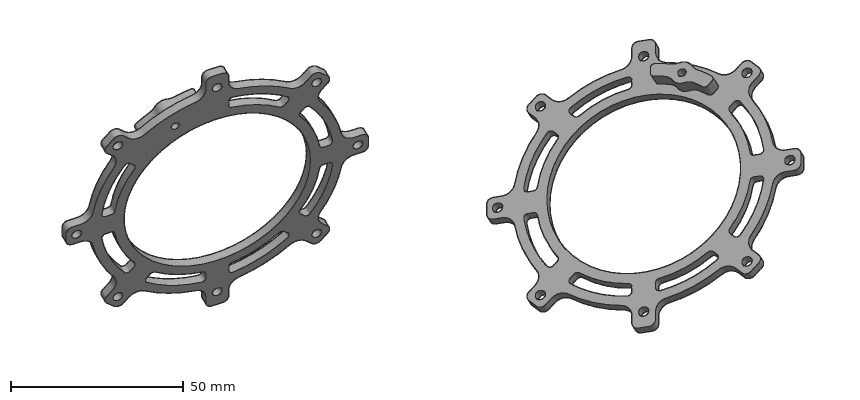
import cadquery as cq
import math

plate_thickness = 3.0
boss_height = 5.0
ring_inner_radius = 29.6
ring_outer_radius = 40.0
ring_middle_radius = (ring_inner_radius + ring_outer_radius) / 2

tab_count = 8
tab_pitch = 360 / tab_count
tab_width = 7.3
tab_tip_radius = 48.0
tab_corner_radius = 2.0
tab_root_fillet = 4.0
tab_hole_diameter = 3.1
tab_hole_radius = 44.6
vertical_tab_hole_radius = 42.7

slot_inner_radius = 32.8
slot_outer_radius = 37.0
slot_corner_radius = 1.2

boss_angle = 90 + tab_pitch / 2
pad_radius = 3.55
pad_blend_radius = 4.0
boss_hole_diameter = 2.5

match_tolerance = 0.01

plate_plane = cq.Workplane("YZ")


def polar(radius, angle):
    """Point in the plate plane at an angle in degrees from +Y towards +Z."""
    turn = math.radians(angle)
    return radius * math.cos(turn), radius * math.sin(turn)


def distance_from_axis(edge):
    center = edge.Center()
    return math.hypot(center.y, center.z)


def turned(shape, angle):
    return shape.rotate((0, 0, 0), (1, 0, 0), angle)


def make_tab():
    """Tab along +Y, starting inside the ring and rounded at its tip."""
    length = tab_tip_radius - ring_middle_radius
    return (
        plate_plane.center(ring_middle_radius + length / 2, 0)
        .rect(length, tab_width)
        .extrude(plate_thickness)
        .edges("|X and >Y")
        .fillet(tab_corner_radius)
    )


def make_plate():
    """Ring with its tabs, blended where the tab sides meet the rim."""
    plate = plate_plane.circle(ring_outer_radius).circle(ring_inner_radius).extrude(plate_thickness)
    for index in range(tab_count):
        plate = plate.union(turned(make_tab(), index * tab_pitch))
    rim_corners = plate.edges("|X").filter(
        lambda edge: abs(distance_from_axis(edge) - ring_outer_radius) < match_tolerance
    )
    return rim_corners.fillet(tab_root_fillet)


def make_slot_body(start_x, depth):
    """Curved slot shape between the tab on +Y and the next tab towards +Z."""
    half_width = tab_width / 2

    def corners(radius):
        lead = math.degrees(math.asin(half_width / radius))
        return polar(radius, lead), polar(radius, tab_pitch / 2), polar(radius, tab_pitch - lead)

    outer_start, outer_middle, outer_end = corners(slot_outer_radius)
    inner_start, inner_middle, inner_end = corners(slot_inner_radius)
    return (
        plate_plane.workplane(offset=start_x)
        .moveTo(*inner_start)
        .lineTo(*outer_start)
        .threePointArc(outer_middle, outer_end)
        .lineTo(*inner_end)
        .threePointArc(inner_middle, inner_start)
        .close()
        .extrude(depth)
        .edges("|X")
        .fillet(slot_corner_radius)
    )


def make_boss():
    """Boss standing off the -X face and closing its slot through the plate."""
    depth = boss_height + plate_thickness
    slot_fill = turned(make_slot_body(-boss_height, depth), boss_angle - tab_pitch / 2)
    pad_center = polar(ring_middle_radius, boss_angle)
    pad = (
        plate_plane.workplane(offset=-boss_height)
        .center(*pad_center)
        .circle(pad_radius)
        .extrude(depth)
    )

    def is_pad_junction(edge):
        center = edge.Center()
        offset = math.dist((center.y, center.z), pad_center)
        return abs(offset - pad_radius) < match_tolerance

    def is_on_slot_side(edge):
        radius = distance_from_axis(edge)
        return min(abs(radius - slot_inner_radius), abs(radius - slot_outer_radius)) < match_tolerance

    junctions = slot_fill.union(pad).edges("|X").filter(
        lambda edge: is_pad_junction(edge) and is_on_slot_side(edge)
    )
    return junctions.fillet(pad_blend_radius)


def make_hole(diameter, center):
    """Cutter long enough to pass through the plate and the boss."""
    return (
        plate_plane.workplane(offset=-boss_height)
        .center(*center)
        .circle(diameter / 2)
        .extrude(boss_height + plate_thickness)
    )


result = make_plate()

for index in range(tab_count):
    angle = index * tab_pitch
    result = result.cut(turned(make_slot_body(0, plate_thickness), angle))
    on_z_axis = angle % 180 == 90
    hole_radius = vertical_tab_hole_radius if on_z_axis else tab_hole_radius
    result = result.cut(make_hole(tab_hole_diameter, polar(hole_radius, angle)))

result = result.union(make_boss())
result = result.cut(make_hole(boss_hole_diameter, polar(ring_middle_radius, boss_angle)))